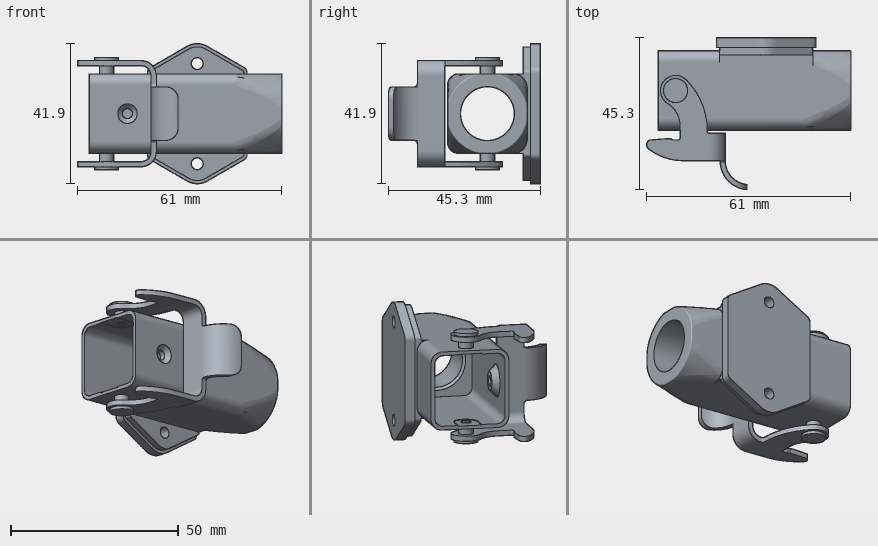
import cadquery as cq
import math

HOUSING_FRONT_X = 3.4
HOUSING_REAR_X = 61.0
HOUSING_WIDTH = 23.8
HOUSING_CORNER_R = 3.35
TAPER_END_R = 12.1
TAPER_ANGLE = 14.5
TAPER_EDGE_R = 4.0
REAR_EDGE_R = 0.35
WALL = 1.15
CAVITY_CORNER_R = 2.45
CAVITY_END_X = 46.35
CABLE_BORE_D = 16.0
CABLE_BORE_MOUTH_D = 17.5

FLANGE_X = 35.7
FLANGE_HALF_WIDTH = 14.9
FLANGE_OUTER_Y = 15.8
FLANGE_INNER_Y = 12.8
PAD_INNER_Y = 10.7
PAD_INSET = 1.0
PAD_HALF_WIDTH = FLANGE_HALF_WIDTH - PAD_INSET
FLANGE_SIDE_ANGLE = 30.0
FLANGE_TIP_R = 6.0
FLANGE_CORNER_R = 2.0
FLANGE_HOLE_Z = 14.95
FLANGE_HOLE_D = 3.5

SEAT_X = 14.9
SEAT_TOP_D = 5.8
SEAT_HOLE_D = 3.0
SEAT_BOSS_D = 9.8
SEAT_BOSS_HEIGHT = 2.0

PIN_X = 8.65
PIN_SHANK_D = 4.4
PIN_TIP_D = 3.0
PIN_HEAD_D = 7.2
PIN_HEAD_HEIGHT = 0.9
PIN_RECESS_DEPTH = 0.2

SHEET = 1.6
LEVER_OUTER_Z = 15.85
LEVER_INNER_Z = LEVER_OUTER_Z - SHEET
ARM_EYE_R = 4.5
ARM_REAR_X = 18.1
ARM_REAR_R = 21.35
ARM_FRONT_X = 10.0
ARM_FRONT_R = 7.9
STRAP_REAR_X = 23.5
STRAP_TOP_Y = -12.7
STRAP_BOTTOM_Y = -20.9
STRAP_BEND_R = 4.6
STRAP_BEND_X = STRAP_REAR_X - STRAP_BEND_R
ARM_STRAP_FILLET_R = 0.55
HOOK_TOP_Y = -14.7
HOOK_NOTCH_R = 0.6
HOOK_BUMP_Y = -14.3
HOOK_BUMP_FOOT_X = 7.8
HOOK_BUMP_REAR_X = 7.25
HOOK_BUMP_FRONT_X = 5.7
HOOK_NOSE_TOP_X = 1.1
HOOK_NOSE_TIP = (0, -16.1)
HOOK_NOSE_BOTTOM = (0.55, -17.4)
HOOK_BELLY_MIDDLE = (5.2, -19.95)
HOOK_BELLY_X = 10.35
TAB_HALF_WIDTH = 8.0
TAB_END_X = 30.0
TAB_BEND_R = 8.65
TAB_CORNER_R = 3.8
TAB_ROOT_FILLET_R = 1.0

half_width = HOUSING_WIDTH / 2
cavity_half_width = half_width - WALL


def bar_along_x(width, start_x, end_x):
    """Square bar centred on the X axis."""
    return cq.Workplane("YZ").workplane(offset=start_x).rect(width, width).extrude(end_x - start_x)


def cylinder_along_z(x, diameter, low_z, high_z):
    return (
        cq.Workplane("XY").workplane(offset=low_z).center(x, 0)
        .circle(diameter / 2).extrude(high_z - low_z)
    )


def revolve_about_x(profile):
    """Turns a closed (X, radius) outline about the X axis."""
    return cq.Workplane("XY").polyline(profile).close().revolve(360, (0, 0, 0), (1, 0, 0))


def housing_body():
    """Square bar cut by a cone at the rear, with its edges rounded."""
    length = HOUSING_REAR_X - HOUSING_FRONT_X
    front_r = TAPER_END_R + length * math.tan(math.radians(TAPER_ANGLE))
    taper = revolve_about_x([
        (HOUSING_FRONT_X, 0),
        (HOUSING_FRONT_X, front_r),
        (HOUSING_REAR_X, TAPER_END_R),
        (HOUSING_REAR_X, 0),
    ])
    sharp_bar = bar_along_x(HOUSING_WIDTH, HOUSING_FRONT_X, HOUSING_REAR_X)
    rounded_bar = sharp_bar.edges("|X").fillet(HOUSING_CORNER_R)
    body = sharp_bar.intersect(taper)
    body = body.edges("not(<X or >X or |X)").fillet(TAPER_EDGE_R)
    body = body.intersect(rounded_bar)
    return body.faces(">X").edges().fillet(REAR_EDGE_R)


def cavity():
    """Square chamber open at the front, leading into the cable bore."""
    chamber = bar_along_x(2 * cavity_half_width, HOUSING_FRONT_X, CAVITY_END_X)
    chamber = chamber.edges("|X").fillet(CAVITY_CORNER_R)
    mouth_r = CABLE_BORE_MOUTH_D / 2
    bore_r = CABLE_BORE_D / 2
    bore = revolve_about_x([
        (CAVITY_END_X, 0),
        (CAVITY_END_X, mouth_r),
        (CAVITY_END_X + mouth_r - bore_r, bore_r),
        (HOUSING_REAR_X, bore_r),
        (HOUSING_REAR_X, 0),
    ])
    return chamber.union(bore)


def flange_plate(inset, inner_y, outer_y):
    """Six-sided plate with rounded corners, shrunk evenly by the inset."""
    angle = math.radians(FLANGE_SIDE_ANGLE)
    apex_z = FLANGE_HOLE_Z + (FLANGE_TIP_R - inset) / math.cos(angle)
    side_x = FLANGE_HALF_WIDTH - inset
    side_z = apex_z - side_x * math.tan(angle)
    outline = [(0, apex_z), (side_x, side_z), (side_x, -side_z),
               (0, -apex_z), (-side_x, -side_z), (-side_x, side_z)]
    plate = (
        cq.Workplane("XZ", origin=(FLANGE_X, outer_y, 0))
        .polyline(outline).close().extrude(outer_y - inner_y)
    )
    plate = plate.edges("|Y").edges(">Z or <Z").fillet(FLANGE_TIP_R - inset)
    return plate.edges("|Y").edges("<X or >X").fillet(FLANGE_CORNER_R - inset)


def flange():
    """Drilled plate and pad, on a square-cornered neck that backs onto the housing."""
    plate = flange_plate(0, FLANGE_INNER_Y, FLANGE_OUTER_Y)
    pad = flange_plate(PAD_INSET, PAD_INNER_Y, FLANGE_INNER_Y)
    neck = (
        cq.Workplane("XZ", origin=(FLANGE_X, FLANGE_INNER_Y, 0))
        .rect(2 * PAD_HALF_WIDTH, HOUSING_WIDTH).extrude(FLANGE_INNER_Y)
    )
    holes = (
        cq.Workplane("XZ", origin=(FLANGE_X, FLANGE_OUTER_Y, 0))
        .pushPoints([(0, FLANGE_HOLE_Z), (0, -FLANGE_HOLE_Z)])
        .circle(FLANGE_HOLE_D / 2).extrude(FLANGE_OUTER_Y)
    )
    return plate.union(pad).cut(holes).union(neck)


def seat_turning(profile):
    """Turns (radius, Y) points about the screw axis."""
    return (
        cq.Workplane("XY", origin=(SEAT_X, 0, 0))
        .polyline(profile).close().revolve(360, (0, 0, 0), (0, 1, 0))
    )


def seat_boss():
    """Cone with 45 degree sides on the inner face of the wall."""
    top_y = SEAT_BOSS_HEIGHT - cavity_half_width
    base_r = SEAT_BOSS_D / 2
    return seat_turning([
        (0, -cavity_half_width),
        (base_r, -cavity_half_width),
        (base_r - SEAT_BOSS_HEIGHT, top_y),
        (0, top_y),
    ])


def seat_hole():
    """Through hole with a 45 degree countersink."""
    top_r = SEAT_TOP_D / 2
    hole_r = SEAT_HOLE_D / 2
    return seat_turning([
        (0, -half_width),
        (top_r, -half_width),
        (hole_r, -half_width + top_r - hole_r),
        (hole_r, 0),
        (0, 0),
    ])


def pin_recess():
    """Round-ended slot in the upper inner wall, open at the front."""
    top_z = cavity_half_width + PIN_RECESS_DEPTH
    length = PIN_X - HOUSING_FRONT_X
    end = cylinder_along_z(PIN_X, PIN_HEAD_D, 0, top_z)
    run = (
        cq.Workplane("XY").center(HOUSING_FRONT_X + length / 2, 0)
        .rect(length, PIN_HEAD_D).extrude(top_z)
    )
    return end.union(run)


def pin():
    """Upper pin: thin tip in the wall, shank to the lever and flat head outside it."""
    tip = cylinder_along_z(PIN_X, PIN_TIP_D, cavity_half_width, half_width)
    shank = cylinder_along_z(PIN_X, PIN_SHANK_D, half_width, LEVER_OUTER_Z)
    head = cylinder_along_z(PIN_X, PIN_HEAD_D, LEVER_OUTER_Z, LEVER_OUTER_Z + PIN_HEAD_HEIGHT)
    return tip.union(shank).union(head)


def polar_point(centre, radius, angle):
    return (centre[0] + radius * math.cos(angle), centre[1] + radius * math.sin(angle))


def lever_arm():
    """Upper side arm: pin eye, curved neck and hooked nose."""
    rear_x = ARM_REAR_X - ARM_REAR_R
    rear_y = -math.sqrt((ARM_REAR_R - ARM_EYE_R) ** 2 - (PIN_X - rear_x) ** 2)
    front_x = ARM_FRONT_X - ARM_FRONT_R
    front_y = -math.sqrt((ARM_FRONT_R + ARM_EYE_R) ** 2 - (PIN_X - front_x) ** 2)
    rear_angle = math.atan2(-rear_y, PIN_X - rear_x)
    front_angle = math.atan2(-front_y, PIN_X - front_x)

    eye = (PIN_X, 0)
    eye_rear = polar_point(eye, ARM_EYE_R, rear_angle)
    eye_front = polar_point(eye, ARM_EYE_R, front_angle + math.pi)
    eye_middle = polar_point(eye, ARM_EYE_R, (rear_angle + front_angle + math.pi) / 2)
    rear_middle = polar_point((rear_x, rear_y), ARM_REAR_R, rear_angle / 2)
    front_middle = polar_point((front_x, front_y), ARM_FRONT_R, front_angle / 2)

    notch_centre = (ARM_FRONT_X - HOOK_NOTCH_R, HOOK_TOP_Y + HOOK_NOTCH_R)
    notch_middle = polar_point(notch_centre, HOOK_NOTCH_R, -math.pi / 4)
    step_centre = (ARM_REAR_X + ARM_STRAP_FILLET_R, STRAP_TOP_Y + ARM_STRAP_FILLET_R)
    step_middle = polar_point(step_centre, ARM_STRAP_FILLET_R, -3 * math.pi / 4)

    return (
        cq.Workplane("XY").workplane(offset=LEVER_INNER_Z)
        .moveTo(*eye_rear)
        .threePointArc(eye_middle, eye_front)
        .threePointArc(front_middle, (ARM_FRONT_X, front_y))
        .lineTo(ARM_FRONT_X, notch_centre[1])
        .threePointArc(notch_middle, (notch_centre[0], HOOK_TOP_Y))
        .lineTo(HOOK_BUMP_FOOT_X, HOOK_TOP_Y)
        .lineTo(HOOK_BUMP_REAR_X, HOOK_BUMP_Y)
        .lineTo(HOOK_BUMP_FRONT_X, HOOK_BUMP_Y)
        .lineTo(HOOK_NOSE_TOP_X, HOOK_TOP_Y)
        .threePointArc(HOOK_NOSE_TIP, HOOK_NOSE_BOTTOM)
        .threePointArc(HOOK_BELLY_MIDDLE, (HOOK_BELLY_X, STRAP_BOTTOM_Y))
        .lineTo(STRAP_BEND_X, STRAP_BOTTOM_Y)
        .lineTo(STRAP_BEND_X, STRAP_TOP_Y)
        .lineTo(step_centre[0], STRAP_TOP_Y)
        .threePointArc(step_middle, (ARM_REAR_X, step_centre[1]))
        .lineTo(ARM_REAR_X, rear_y)
        .threePointArc(rear_middle, eye_rear)
        .close()
        .extrude(SHEET)
    )


def strap_block(rear_x, half_height, bend_r):
    """Block as deep as the strap along Y, with its two rear corners rounded."""
    front_x = ARM_REAR_X + ARM_STRAP_FILLET_R
    return (
        cq.Workplane("XZ", origin=((front_x + rear_x) / 2, STRAP_TOP_Y, 0))
        .rect(rear_x - front_x, 2 * half_height)
        .extrude(STRAP_TOP_Y - STRAP_BOTTOM_Y)
        .edges("|Y and >X").fillet(bend_r)
    )


def lever_strap():
    """Cross strap, bent forward at both ends to meet the arms."""
    outside = strap_block(STRAP_REAR_X, LEVER_OUTER_Z, STRAP_BEND_R)
    inside = strap_block(STRAP_REAR_X - SHEET, LEVER_INNER_Z, STRAP_BEND_R - SHEET)
    return outside.cut(inside)


def finger_tab():
    """Sheet rolled rearwards about a line along Z, flared at the root and rounded at the free corners."""
    start_x = STRAP_REAR_X - SHEET
    length = TAB_END_X - start_x
    root_z = TAB_HALF_WIDTH + TAB_ROOT_FILLET_R
    root_y = STRAP_BOTTOM_Y - TAB_ROOT_FILLET_R
    roll = (
        cq.Workplane("XY", origin=(start_x + TAB_BEND_R, STRAP_BOTTOM_Y, -root_z))
        .circle(TAB_BEND_R).circle(TAB_BEND_R - SHEET).extrude(2 * root_z)
    )
    rounded_end = (
        cq.Workplane("XZ", origin=(start_x + length / 2, STRAP_BOTTOM_Y, 0))
        .rect(length, 2 * TAB_HALF_WIDTH).extrude(TAB_BEND_R)
        .edges("|Y and >X").fillet(TAB_CORNER_R)
    )
    root_rounds = (
        cq.Workplane("YZ", origin=(start_x, 0, 0))
        .pushPoints([(root_y, root_z), (root_y, -root_z)])
        .circle(TAB_ROOT_FILLET_R).extrude(SHEET)
    )
    flare = (
        cq.Workplane("YZ", origin=(start_x, (STRAP_BOTTOM_Y + root_y) / 2, 0))
        .rect(TAB_ROOT_FILLET_R, 2 * root_z).extrude(SHEET)
        .cut(root_rounds)
    )
    return roll.intersect(rounded_end.union(flare))


def lever():
    arm = lever_arm()
    return lever_strap().union(finger_tab()).union(arm).union(arm.mirror("XY"))


recess = pin_recess()
upper_pin = pin()

result = (
    housing_body()
    .union(flange())
    .cut(cavity())
    .union(seat_boss())
    .cut(seat_hole())
    .cut(recess)
    .cut(recess.mirror("XY"))
    .union(upper_pin)
    .union(upper_pin.mirror("XY"))
    .union(lever())
)